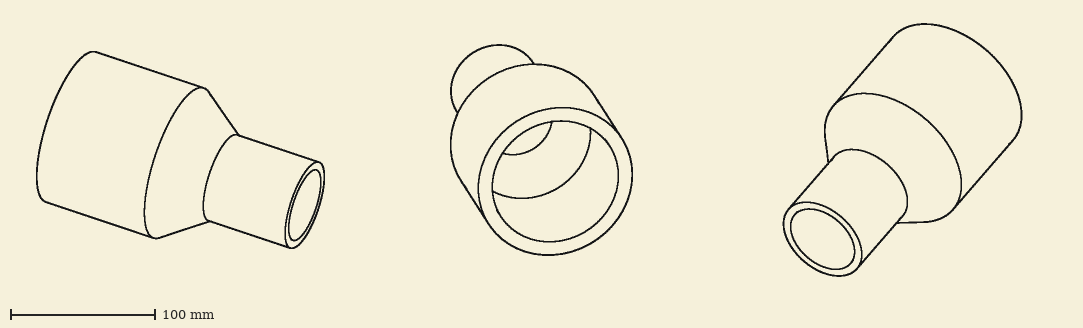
import cadquery as cq

total_length = 180.0
wide_length = 83.0
narrow_length = 63.0
wide_outer_diameter = 110.0
wide_bore_diameter = 90.0
narrow_outer_diameter = 63.0
narrow_bore_diameter = 51.5

cone_end = total_length - narrow_length


def stepped_cone(wide_diameter, narrow_diameter):
    """Solid of two cylinders joined by a cone, revolved about the X axis."""
    wide_radius = wide_diameter / 2
    narrow_radius = narrow_diameter / 2
    return (
        cq.Workplane("XY")
        .moveTo(0, 0)
        .lineTo(0, -wide_radius)
        .lineTo(wide_length, -wide_radius)
        .lineTo(cone_end, -narrow_radius)
        .lineTo(total_length, -narrow_radius)
        .lineTo(total_length, 0)
        .close()
        .revolve(360, (0, 0, 0), (1, 0, 0))
    )


outer_body = stepped_cone(wide_outer_diameter, narrow_outer_diameter)
bore = stepped_cone(wide_bore_diameter, narrow_bore_diameter)

result = outer_body.cut(bore)